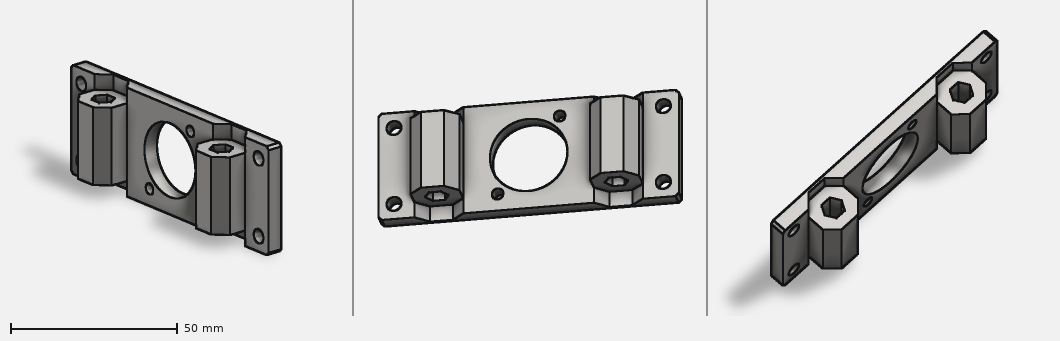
import cadquery as cq

plate_length = 92.0
plate_thickness = 5.0
plate_height = 35.0
plate_corner_chamfer = 1.0

socket_spacing = 55.0
socket_width = 15.0
socket_depth = 14.0
socket_height = 25.0
socket_chamfer = 4.0
socket_back_wall = 1.0
hex_across_corners = 7.2

center_hole_diameter = 23.7
mount_hole_diameter = 4.5
mount_hole_spacing_x = 82.5
mount_hole_spacing_z = 25.0
pilot_hole_diameter = 3.5
pilot_hole_x = 9.5
pilot_hole_z = 12.0

socket_center_y = -socket_back_wall - socket_depth / 2
socket_centers = [
    (-socket_spacing / 2, socket_center_y),
    (socket_spacing / 2, socket_center_y),
]


def make_plate():
    """Rectangular plate with its four corners chamfered."""
    plate = cq.Workplane("XY").box(
        plate_length, plate_thickness, plate_height, centered=(True, False, True)
    )
    plate = plate.translate((0, -plate_thickness, 0))
    return plate.edges("|Y").chamfer(plate_corner_chamfer)


def octagon_prisms(height):
    """Octagonal prisms at both socket places, centered on Z = 0."""
    return (
        cq.Workplane("XY")
        .pushPoints(socket_centers)
        .rect(socket_width, socket_depth)
        .extrude(height / 2, both=True)
        .edges("|Z")
        .chamfer(socket_chamfer)
    )


def hex_bores():
    """Hexagonal bores running the full height of both sockets."""
    return (
        cq.Workplane("XY")
        .pushPoints(socket_centers)
        .polygon(6, hex_across_corners)
        .extrude(socket_height / 2, both=True)
    )


def plate_holes(points, diameter):
    """Cylinders along Y through the plate at the given (X, Z) points."""
    return cq.Workplane("XZ").pushPoints(points).circle(diameter / 2).extrude(plate_thickness)


mount_points = [
    (side * mount_hole_spacing_x / 2, level * mount_hole_spacing_z / 2)
    for side in (-1, 1)
    for level in (-1, 1)
]
pilot_points = [(side * pilot_hole_x, side * pilot_hole_z) for side in (-1, 1)]

body = make_plate().cut(octagon_prisms(plate_height))
body = body.union(octagon_prisms(socket_height))
body = body.cut(hex_bores())
body = body.cut(plate_holes([(0, 0)], center_hole_diameter))
body = body.cut(plate_holes(mount_points, mount_hole_diameter))
result = body.cut(plate_holes(pilot_points, pilot_hole_diameter))